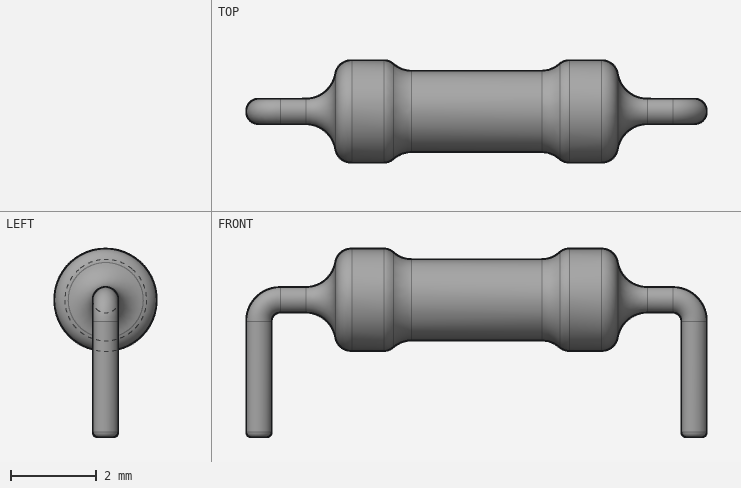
import cadquery as cq
import math

length = 10.76
height = 4.41
wire_radius = 0.6 / 2
cap_radius = 2.4 / 2
waist_radius = 1.9 / 2

bend_radius = 0.5
tip_fillet = 0.13
lead_x = length / 2 - wire_radius
lead_bottom_z = cap_radius - height

neck_x = 3.98
cap_outer_x = 2.92
cap_inner_x = 2.16
waist_x = 1.53

neck_convex_share = 0.36
shoulder_convex_share = 0.35


def add_s_curve(profile, start, end, first_share):
    """Add two arcs that leave start and reach end parallel to the X axis."""
    middle = tuple(a + first_share * (b - a) for a, b in zip(start, end))
    return (
        profile.threePointArc(arc_midpoint(start, middle), middle)
        .threePointArc(arc_midpoint(end, middle), end)
    )


def arc_midpoint(flat_end, other_end):
    """Midpoint of the arc that is parallel to the X axis at flat_end."""
    run = other_end[0] - flat_end[0]
    rise = other_end[1] - flat_end[1]
    signed_radius = (run**2 + rise**2) / (2 * rise)
    sweep = 2 * math.atan2(abs(rise), abs(run))
    half_run = math.copysign(abs(signed_radius) * math.sin(sweep / 2), run)
    half_rise = signed_radius * (1 - math.cos(sweep / 2))
    return (flat_end[0] + half_run, flat_end[1] + half_rise)


def make_half_body():
    """Turned half of the body on the -X side, from the middle out to the neck."""
    profile = cq.Workplane("XZ").moveTo(0, 0).lineTo(-neck_x, 0).lineTo(-neck_x, wire_radius)
    profile = add_s_curve(
        profile, (-neck_x, wire_radius), (-cap_outer_x, cap_radius), 1 - neck_convex_share
    )
    profile = profile.lineTo(-cap_inner_x, cap_radius)
    profile = add_s_curve(
        profile, (-cap_inner_x, cap_radius), (-waist_x, waist_radius), shoulder_convex_share
    )
    return profile.lineTo(0, waist_radius).close().revolve(360, (0, 0, 0), (1, 0, 0))


def make_lead():
    """Round wire on the -X side, bent down from the neck to a rounded tip."""
    bend_offset = bend_radius * (1 - math.sqrt(0.5))
    path = (
        cq.Workplane("XZ")
        .moveTo(-lead_x, lead_bottom_z)
        .lineTo(-lead_x, -bend_radius)
        .threePointArc((-lead_x + bend_offset, -bend_offset), (-lead_x + bend_radius, 0))
        .lineTo(-neck_x, 0)
    )
    wire = cq.Workplane("XY", origin=(-lead_x, 0, lead_bottom_z)).circle(wire_radius).sweep(path)
    return wire.faces("<Z").edges().fillet(tip_fillet)


half_part = make_half_body().union(make_lead())
result = half_part.union(half_part.mirror("YZ"))